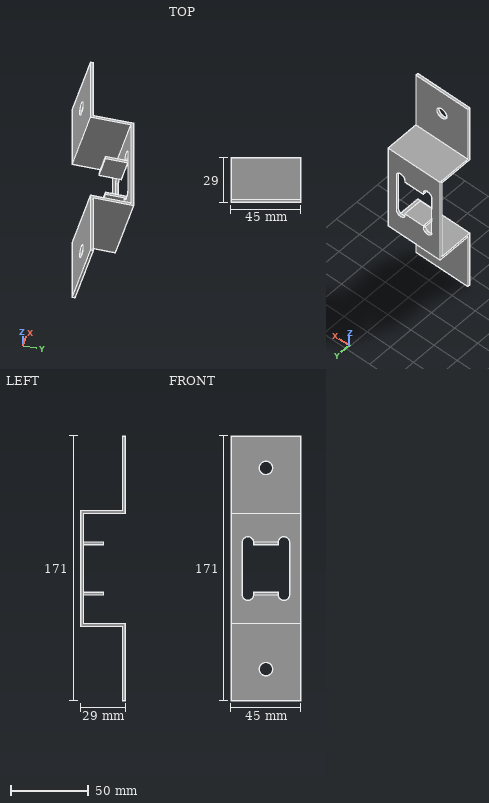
import cadquery as cq

WIDTH = 45.0
HEIGHT = 171.0
DEPTH = 29.0
SHEET = 2.0
FLANGE_HEIGHT = 50.0

HOLE_DIAMETER = 8.5
HOLE_SPACING = 130.0

WINDOW_WIDTH = 30.5
WINDOW_HEIGHT = 41.0
TAB_WIDTH = 16.0
TAB_GAP = 30.5
TAB_REACH = 15.0

web_half_height = HEIGHT / 2 - FLANGE_HEIGHT + SHEET
web_inner_y = DEPTH - SHEET
slot_width = (WINDOW_WIDTH - TAB_WIDTH) / 2
slot_offset = (TAB_WIDTH + slot_width) / 2
tab_outer_span = TAB_GAP + 2 * SHEET


def plate(width, y_start, y_end, z_start, z_end):
    """Flat plate centred on X = 0."""
    corner = (-width / 2, y_start, z_start)
    return cq.Workplane("XY").box(width, y_end - y_start, z_end - z_start, centered=False).translate(corner)


def make_hat_strip():
    """Bent strip: rear web, two legs and two front flanges."""
    strip = plate(WIDTH, web_inner_y, DEPTH, -web_half_height, web_half_height)
    leg = plate(WIDTH, 0, DEPTH, web_half_height - SHEET, web_half_height)
    flange = plate(WIDTH, 0, SHEET, HEIGHT / 2 - FLANGE_HEIGHT, HEIGHT / 2)
    upper = leg.union(flange)
    return strip.union(upper).union(upper.mirror("XY"))


def make_window():
    """Cutter for the window: a central opening between two round-ended slots."""
    slots = (
        cq.Workplane("XZ", origin=(0, DEPTH, 0))
        .pushPoints([(-slot_offset, 0), (slot_offset, 0)])
        .slot2D(WINDOW_HEIGHT, slot_width, 90)
        .extrude(SHEET)
    )
    opening_width = 2 * slot_offset
    opening = plate(opening_width, web_inner_y, DEPTH, -tab_outer_span / 2, tab_outer_span / 2)
    return slots.union(opening)


def make_tabs():
    """Two tabs folded forward from the upper and lower window edges."""
    upper = plate(TAB_WIDTH, DEPTH - TAB_REACH, DEPTH, TAB_GAP / 2, tab_outer_span / 2)
    return upper.union(upper.mirror("XY"))


def make_mounting_holes():
    """Cutters for the hole through each flange."""
    return (
        cq.Workplane("XZ")
        .pushPoints([(0, -HOLE_SPACING / 2), (0, HOLE_SPACING / 2)])
        .circle(HOLE_DIAMETER / 2)
        .extrude(-SHEET)
    )


result = make_hat_strip().cut(make_window()).union(make_tabs()).cut(make_mounting_holes())